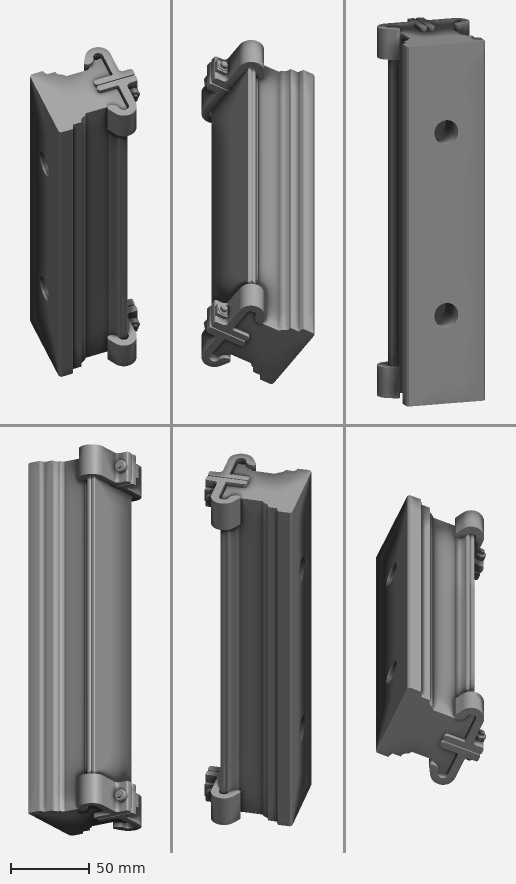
import cadquery as cq
import math

TOTAL_LENGTH = 242.0
RAIL_OVERHANG = 3.0
CLAMP_LENGTH = 20.0
RAIL_LENGTH = TOTAL_LENGTH - 2 * RAIL_OVERHANG

CLAMP_HALF_WIDTH = 30.7
CLAMP_TOP = 62.15
WALL = 5.0
CROSSBAR_TOP = 53.9
CROSSBAR_BOTTOM = CROSSBAR_TOP - WALL
HOOK_OUTER_RADIUS = 8.3
HOOK_INNER_RADIUS = HOOK_OUTER_RADIUS - WALL
HOOK_X = CLAMP_HALF_WIDTH - HOOK_OUTER_RADIUS
HOOK_Y = CROSSBAR_TOP - HOOK_OUTER_RADIUS
HOOK_END_ANGLE = -60.0
NOSE_RADIUS = 5.1
NOSE_CENTER_ANGLE = -81.0
NOSE_TIP_RADIUS = 2.0
SLIT_HALF_WIDTH = 0.4
EAR_HALF_WIDTH = 5.5
EAR_EDGE_RADIUS = 1.3
EAR_FOOT_RADIUS = 2.6
PRONG_HALF_WIDTH = 4.75
PRONG_BOTTOM = 35.2
PRONG_ROOT_RADIUS = 0.8

BOLT_Y = 58.15
BOLT_DIAMETER = 4.0
BOLT_END = 11.0
SEAT_DEPTH = 1.0
NUT_DIAMETER = 8.0
NUT_END = 9.1
NUT_CHAMFER = 0.6
PLATE_HEIGHT = 7.6
PLATE_WIDTH = 8.8
PLATE_END = 8.0
COLLAR_DIAMETER = 6.8
COLLAR_END = 8.6
HEAD_DIAMETER = 4.6
HEAD_END = 11.5
HEAD_CHAMFER = 0.7

BASE_HALF_WIDTH = 26.5
BASE_CHAMFER = 1.3
BASE_SIDE_TOP = 9.1
STEP_HALF_WIDTH = 23.0
STEP_BOTTOM = 10.7
STEP_TOP = 16.6
STEP_LEDGE = 1.2
FLARE_START = (19.0, 19.9)
FLARE_SAG = 0.5
NECK_HALF_WIDTH = 17.0
NECK_BOTTOM = 21.8
NECK_TOP = 36.9
COVE_START_X = 22.4
COVE_END_Y = 38.3
HEAD_HALF_WIDTH = 23.0
HEAD_SIDE_BOTTOM = 42.8
RAIL_TOP = 48.0
HEAD_EDGE_CHAMFER = 0.5
GROOVE_Y = 45.1
GROOVE_HALF_HEIGHT = 0.7
GROOVE_DEPTH = 0.7

HOLE_DIAMETER = 16.0
HOLE_DEPTH = 25.0
HOLE_SPACING = 120.0


def polar(center, radius, angle):
    """Point on a circle, angle in degrees from +X."""
    turn = math.radians(angle)
    return (center[0] + radius * math.cos(turn), center[1] + radius * math.sin(turn))


HOOK_CENTER = (HOOK_X, HOOK_Y)
NOSE_CENTER = polar(HOOK_CENTER, HOOK_INNER_RADIUS + NOSE_RADIUS, NOSE_CENTER_ANGLE)


def nose_point(angle):
    """Point on the bearing face of the nose."""
    return polar(NOSE_CENTER, NOSE_RADIUS, angle)


def mirrored(half):
    """A half together with its mirror image in X = 0."""
    return half.union(half.mirror("YZ"))


def clamp_half():
    """One hook-shaped half of the clamp, standing from Z = 0."""
    nose_start_angle = NOSE_CENTER_ANGLE + 180
    nose_end_angle = 180
    nose_start = nose_point(nose_start_angle)
    nose_middle = nose_point((nose_start_angle + nose_end_angle) / 2)
    nose_end = nose_point(nose_end_angle)

    hook_outer_middle = polar(HOOK_CENTER, HOOK_OUTER_RADIUS, (90 + HOOK_END_ANGLE) / 2)
    hook_outer_end = polar(HOOK_CENTER, HOOK_OUTER_RADIUS, HOOK_END_ANGLE)
    hook_inner_middle = polar(HOOK_CENTER, HOOK_INNER_RADIUS, (90 + NOSE_CENTER_ANGLE) / 2)

    flank_slope = math.tan(math.radians(90 + HOOK_END_ANGLE))
    tip_x = nose_end[0]
    tip_y = hook_outer_end[1] - (hook_outer_end[0] - tip_x) * flank_slope

    prong_radius = (PRONG_HALF_WIDTH - SLIT_HALF_WIDTH) / 2
    prong_middle_x = (PRONG_HALF_WIDTH + SLIT_HALF_WIDTH) / 2
    prong_round_y = PRONG_BOTTOM + prong_radius

    section = (
        cq.Workplane("XY")
        .moveTo(SLIT_HALF_WIDTH, CLAMP_TOP)
        .lineTo(EAR_HALF_WIDTH, CLAMP_TOP)
        .lineTo(EAR_HALF_WIDTH, CROSSBAR_TOP)
        .lineTo(HOOK_X, CROSSBAR_TOP)
        .threePointArc(hook_outer_middle, hook_outer_end)
        .lineTo(tip_x, tip_y)
        .lineTo(*nose_end)
        .threePointArc(nose_middle, nose_start)
        .threePointArc(hook_inner_middle, (HOOK_X, CROSSBAR_BOTTOM))
        .lineTo(PRONG_HALF_WIDTH, CROSSBAR_BOTTOM)
        .lineTo(PRONG_HALF_WIDTH, prong_round_y)
        .threePointArc((prong_middle_x, PRONG_BOTTOM), (SLIT_HALF_WIDTH, prong_round_y))
        .close()
    )
    half = section.extrude(CLAMP_LENGTH)

    def edge_at(x, y):
        return cq.selectors.NearestToPointSelector((x, y, CLAMP_LENGTH / 2))

    half = half.edges(edge_at(EAR_HALF_WIDTH, CROSSBAR_TOP)).fillet(EAR_FOOT_RADIUS)
    half = half.edges(edge_at(tip_x, tip_y)).fillet(NOSE_TIP_RADIUS)
    half = half.edges(edge_at(PRONG_HALF_WIDTH, CROSSBAR_BOTTOM)).fillet(PRONG_ROOT_RADIUS)
    for x in (SLIT_HALF_WIDTH, EAR_HALF_WIDTH):
        half = half.edges(edge_at(x, CLAMP_TOP)).fillet(EAR_EDGE_RADIUS)
    return half


def bolt():
    """Bolt along X that ties the two clamp halves together."""
    axis = cq.Workplane("YZ", origin=(0, BOLT_Y, CLAMP_LENGTH / 2))
    shank = axis.circle(BOLT_DIAMETER / 2).extrude(BOLT_END)
    shank = shank.union(axis.circle(BOLT_DIAMETER / 2).extrude(-PLATE_END))
    nut = (
        axis.workplane(offset=EAR_HALF_WIDTH - SEAT_DEPTH)
        .circle(NUT_DIAMETER / 2)
        .extrude(NUT_END - EAR_HALF_WIDTH + SEAT_DEPTH)
        .faces(">X")
        .chamfer(NUT_CHAMFER)
    )
    plate = (
        axis.workplane(offset=SEAT_DEPTH - EAR_HALF_WIDTH)
        .rect(PLATE_HEIGHT, PLATE_WIDTH)
        .extrude(EAR_HALF_WIDTH - SEAT_DEPTH - PLATE_END)
    )
    collar = axis.workplane(offset=-PLATE_END).circle(COLLAR_DIAMETER / 2).extrude(PLATE_END - COLLAR_END)
    head = (
        axis.workplane(offset=-PLATE_END)
        .circle(HEAD_DIAMETER / 2)
        .extrude(PLATE_END - HEAD_END)
        .faces("<X")
        .chamfer(HEAD_CHAMFER)
    )
    return shank.union(nut).union(plate).union(collar).union(head)


def clamp(z):
    """Both hook halves joined by their bolt, with the lower end at height z."""
    return mirrored(clamp_half()).union(bolt()).translate((0, 0, z))


def rail_body():
    """Rail section, extruded along Z."""
    cove_start_angle = math.degrees(math.acos((COVE_START_X - NOSE_CENTER[0]) / NOSE_RADIUS))
    cove_end_angle = 180 - math.degrees(math.asin((COVE_END_Y - NOSE_CENTER[1]) / NOSE_RADIUS))
    cove_start = nose_point(cove_start_angle)
    cove_middle = nose_point((cove_start_angle + cove_end_angle) / 2)
    cove_end = nose_point(cove_end_angle)
    flare_foot = (STEP_HALF_WIDTH - STEP_LEDGE, STEP_TOP)

    half = (
        cq.Workplane("XY", origin=(0, 0, RAIL_OVERHANG))
        .lineTo(BASE_HALF_WIDTH - BASE_CHAMFER, 0)
        .lineTo(BASE_HALF_WIDTH, BASE_CHAMFER)
        .lineTo(BASE_HALF_WIDTH, BASE_SIDE_TOP)
        .lineTo(STEP_HALF_WIDTH, STEP_BOTTOM)
        .lineTo(STEP_HALF_WIDTH, STEP_TOP)
        .lineTo(*flare_foot)
        .sagittaArc(FLARE_START, FLARE_SAG)
        .lineTo(NECK_HALF_WIDTH, NECK_BOTTOM)
        .lineTo(NECK_HALF_WIDTH, NECK_TOP)
        .lineTo(*cove_end)
        .threePointArc(cove_middle, cove_start)
        .lineTo(HEAD_HALF_WIDTH, HEAD_SIDE_BOTTOM)
        .lineTo(HEAD_HALF_WIDTH, GROOVE_Y - GROOVE_HALF_HEIGHT)
        .lineTo(HEAD_HALF_WIDTH - GROOVE_DEPTH, GROOVE_Y)
        .lineTo(HEAD_HALF_WIDTH, GROOVE_Y + GROOVE_HALF_HEIGHT)
        .lineTo(HEAD_HALF_WIDTH, RAIL_TOP - HEAD_EDGE_CHAMFER)
        .lineTo(HEAD_HALF_WIDTH - HEAD_EDGE_CHAMFER, RAIL_TOP)
        .lineTo(0, RAIL_TOP)
        .close()
        .extrude(RAIL_LENGTH)
    )
    return mirrored(half)


def mounting_holes():
    """Blind holes from the mounting face."""
    return (
        cq.Workplane("XZ", origin=(0, 0, TOTAL_LENGTH / 2))
        .rarray(1, HOLE_SPACING, 1, 2)
        .circle(HOLE_DIAMETER / 2)
        .extrude(-HOLE_DEPTH)
    )


clamps = [clamp(z) for z in (0, TOTAL_LENGTH - CLAMP_LENGTH)]

rail = rail_body().cut(mounting_holes())
for fitted_clamp in clamps:
    rail = rail.cut(fitted_clamp)

clamp_solids = [fitted_clamp.solids().val() for fitted_clamp in clamps]
result = cq.Compound.makeCompound([rail.solids().val(), *clamp_solids])